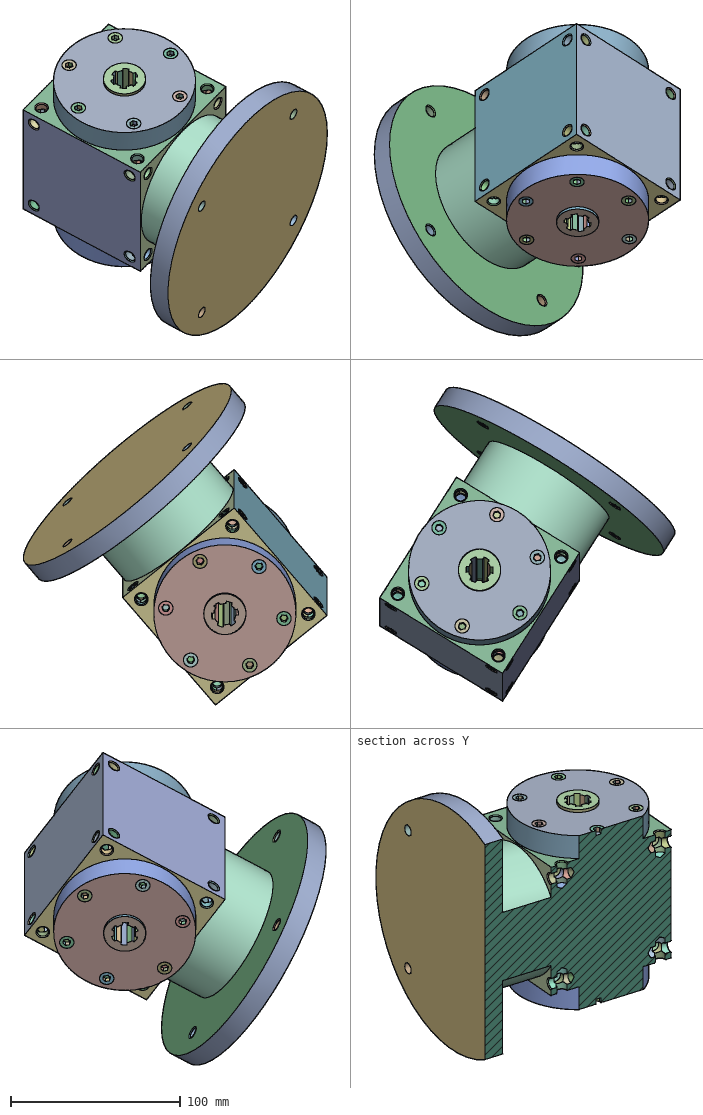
import cadquery as cq
import math

FULL_TURN = 360.0
HEXAGON_SIDES = 6

BLOCK_SIZE = 85.8

COVER_DIAMETER = 84.0
COVER_HEIGHT = 15.2

NECK_DIAMETER = COVER_DIAMETER
NECK_LENGTH = 34.2
FLANGE_DIAMETER = 160.0
FLANGE_THICKNESS = 13.0
FLANGE_BOLT_CIRCLE = 130.0
FLANGE_HOLE_COUNT = 4

HOLE_DIAMETER = 6.7
HOLE_MOUTH_DIAMETER = 8.0
BLOCK_HOLE_SPACING = 70.0
BLOCK_HOLE_DEPTH = 14.4
DRILL_TIP_ANGLE = 118.0

SCREW_COUNT = 6
SCREW_CIRCLE = 70.0
SCREW_FIRST_ANGLE = 15.0
SCREW_HEAD_DIAMETER = 8.5
SCREW_HEAD_RECESS = 0.08
SOCKET_ACROSS_FLATS = 4.0
SOCKET_DEPTH = 3.2

SHAFT_DIAMETER = 25.0
SHAFT_PROTRUSION = 2.0
SPLINE_MINOR_DIAMETER = 13.0
SPLINE_MAJOR_DIAMETER = 16.0
SPLINE_SLOT_COUNT = 6
SPLINE_SLOT_WIDTH = 3.5

HALF_BLOCK = BLOCK_SIZE / 2
COVER_TOP = HALF_BLOCK + COVER_HEIGHT
FLANGE_FACE = HALF_BLOCK + NECK_LENGTH
SHAFT_LENGTH = 2 * (COVER_TOP + SHAFT_PROTRUSION)
HOLE_CHAMFER = (HOLE_MOUTH_DIAMETER - HOLE_DIAMETER) / 2


def housing_shell():
    """Solid block with both covers, the neck and the flange."""
    block = cq.Workplane("XY").box(BLOCK_SIZE, BLOCK_SIZE, BLOCK_SIZE)
    covers = cq.Workplane("XY").circle(COVER_DIAMETER / 2).extrude(COVER_TOP, both=True)
    neck = cq.Workplane("YZ").circle(NECK_DIAMETER / 2).extrude(FLANGE_FACE)
    flange = (
        cq.Workplane("YZ", origin=(FLANGE_FACE, 0, 0))
        .circle(FLANGE_DIAMETER / 2)
        .extrude(FLANGE_THICKNESS)
    )
    return block.union(covers).union(neck).union(flange)


def blind_hole_cutter():
    """Chamfered blind hole with a conical end, going down from Z = 0."""
    radius = HOLE_DIAMETER / 2
    tip_height = radius / math.tan(math.radians(DRILL_TIP_ANGLE / 2))
    return (
        cq.Workplane("XZ")
        .moveTo(0, 0)
        .lineTo(HOLE_MOUTH_DIAMETER / 2, 0)
        .lineTo(radius, -HOLE_CHAMFER)
        .lineTo(radius, -BLOCK_HOLE_DEPTH)
        .lineTo(0, -BLOCK_HOLE_DEPTH - tip_height)
        .close()
        .revolve(FULL_TURN, (0, 0, 0), (0, 1, 0))
        .val()
    )


def block_face_planes():
    """One plane on each block face, with its normal pointing outwards."""
    directions = [(1, 0, 0), (-1, 0, 0), (0, 1, 0), (0, -1, 0), (0, 0, 1), (0, 0, -1)]
    planes = []
    for normal in directions:
        origin = tuple(HALF_BLOCK * component for component in normal)
        in_plane = (normal[1], normal[2], normal[0])
        planes.append(cq.Plane(origin=origin, xDir=in_plane, normal=normal))
    return planes


def cut_block_holes(body):
    """Four tapped blind holes in every face of the block."""
    cutter = blind_hole_cutter()
    for plane in block_face_planes():
        holes = (
            cq.Workplane(plane)
            .rect(BLOCK_HOLE_SPACING, BLOCK_HOLE_SPACING, forConstruction=True)
            .vertices()
            .eachpoint(cutter, useLocalCoordinates=True)
        )
        body = body.cut(holes)
    return body


def cut_flange_holes(body):
    """Through holes on the flange bolt circle, chamfered on the neck side."""
    first_angle = FULL_TURN / FLANGE_HOLE_COUNT / 2
    hole_places = cq.Workplane("YZ", origin=(FLANGE_FACE, 0, 0)).polarArray(
        FLANGE_BOLT_CIRCLE / 2, first_angle, FULL_TURN, FLANGE_HOLE_COUNT
    )
    drills = hole_places.circle(HOLE_DIAMETER / 2).extrude(FLANGE_THICKNESS)
    mouth = cq.Solid.makeCone(HOLE_MOUTH_DIAMETER / 2, HOLE_DIAMETER / 2, HOLE_CHAMFER)
    mouths = hole_places.eachpoint(mouth, useLocalCoordinates=True)
    return body.cut(drills).cut(mouths)


def cover_screw_cutter():
    """Screw head recess and hexagon socket in the upper cover, at angle zero."""
    across_corners = SOCKET_ACROSS_FLATS / math.cos(math.pi / HEXAGON_SIDES)
    face = cq.Workplane("XY", origin=(SCREW_CIRCLE / 2, 0, COVER_TOP))
    recess = face.circle(SCREW_HEAD_DIAMETER / 2).extrude(-SCREW_HEAD_RECESS)
    socket = face.polygon(HEXAGON_SIDES, across_corners).extrude(-SCREW_HEAD_RECESS - SOCKET_DEPTH)
    return recess.union(socket)


def cut_cover_screws(body):
    """Ring of screws in the upper cover, mirrored to the lower cover."""
    upper = cover_screw_cutter()
    lower = upper.mirror("XY")
    for index in range(SCREW_COUNT):
        angle = SCREW_FIRST_ANGLE + index * FULL_TURN / SCREW_COUNT
        for screw in (upper, lower):
            body = body.cut(screw.rotate((0, 0, 0), (0, 0, 1), angle))
    return body


def make_housing():
    """Complete housing with the bore that carries the shaft."""
    body = housing_shell()
    body = cut_block_holes(body)
    body = cut_flange_holes(body)
    body = cut_cover_screws(body)
    shaft_bore = cq.Workplane("XY").circle(SHAFT_DIAMETER / 2).extrude(COVER_TOP, both=True)
    return body.cut(shaft_bore)


def make_shaft():
    """Hollow shaft through both covers, with straight-sided spline slots."""
    half_length = SHAFT_LENGTH / 2
    tube_section = cq.Workplane("XY").circle(SHAFT_DIAMETER / 2).circle(SPLINE_MINOR_DIAMETER / 2)
    body = tube_section.extrude(half_length, both=True)
    major_bore = cq.Workplane("XY").circle(SPLINE_MAJOR_DIAMETER / 2).extrude(half_length, both=True)
    bar = cq.Workplane("XY").box(SPLINE_MAJOR_DIAMETER, SPLINE_SLOT_WIDTH, SHAFT_LENGTH)
    for index in range(SPLINE_SLOT_COUNT // 2):
        angle = index * FULL_TURN / SPLINE_SLOT_COUNT
        body = body.cut(bar.rotate((0, 0, 0), (0, 0, 1), angle).intersect(major_bore))
    return body


housing = make_housing()
shaft = make_shaft()

result = cq.Compound.makeCompound([housing.val(), shaft.val()])